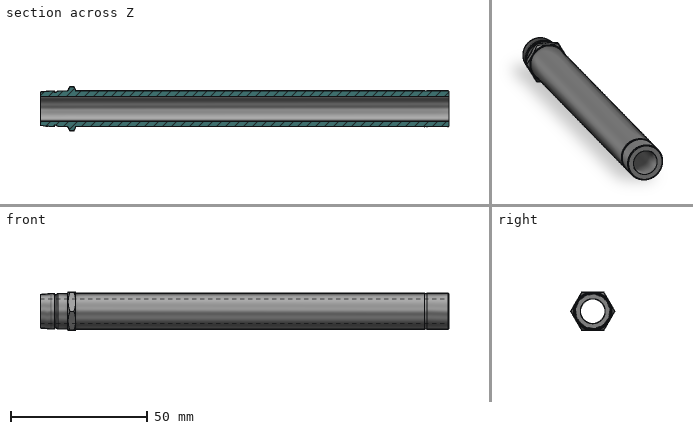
import cadquery as cq
import math

total_length = 150.0
bore_diameter = 9.0
tube_diameter = 13.4

hex_start = 9.9
hex_width = 3.0
hex_across_corners = 16.2
front_chamfer = 0.9
rear_chamfer = 0.6
rear_face_diameter = 14.1

nose_diameter = 12.5
nose_length = 3.9
collar_diameter = 13.2
groove_start = 5.1
groove_width = 1.4
groove_floor_width = 0.6
groove_depth = 0.5

ring_start = 141.0
ring_width = 0.9
ring_depth = 0.08
end_chamfer = 0.3

hex_end = hex_start + hex_width


def turned_body():
    """Solid turned outline of the nose, the collar and the long tube."""
    tube_radius = tube_diameter / 2
    collar_radius = collar_diameter / 2
    groove_radius = collar_radius - groove_depth
    ring_radius = tube_radius - ring_depth
    ring_end = ring_start + ring_width
    groove_end = groove_start + groove_width
    outline = [
        (0, 0),
        (0, nose_diameter / 2),
        (nose_length, collar_radius),
        (groove_start, collar_radius),
        (groove_start, groove_radius),
        (groove_start + groove_floor_width, groove_radius),
        (groove_end, collar_radius),
        (hex_start, collar_radius),
        (hex_start, tube_radius),
        (ring_start, tube_radius),
        (ring_start, ring_radius),
        (ring_end, ring_radius),
        (ring_end, tube_radius),
        (total_length - end_chamfer, tube_radius),
        (total_length, tube_radius - end_chamfer),
        (total_length, 0),
    ]
    return cq.Workplane("XY").polyline(outline).close().revolve(360, (0, 0, 0), (1, 0, 0))


def chamfered_hexagon():
    """Hexagon whose corners are turned down to a cone on each side."""
    hexagon = (
        cq.Workplane("YZ")
        .workplane(offset=hex_start)
        .polygon(6, hex_across_corners)
        .extrude(hex_width)
    )
    corner_radius = hex_across_corners / 2
    outline = [
        (hex_start, 0),
        (hex_start, collar_diameter / 2),
        (hex_start + front_chamfer, corner_radius),
        (hex_end - rear_chamfer, corner_radius),
        (hex_end, rear_face_diameter / 2),
        (hex_end, 0),
    ]
    envelope = cq.Workplane("XY").polyline(outline).close().revolve(360, (0, 0, 0), (1, 0, 0))
    return hexagon.intersect(envelope)


bore = cq.Workplane("YZ").circle(bore_diameter / 2).extrude(total_length)

result = turned_body().union(chamfered_hexagon()).cut(bore)